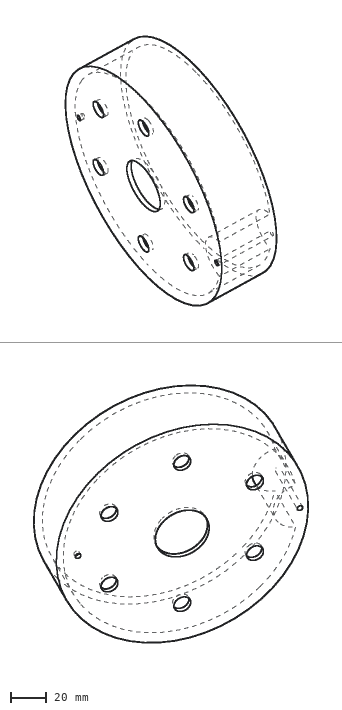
import cadquery as cq

outer_diameter = 150.0
total_depth = 38.0
wall_thickness = 5.0
plate_thickness = 3.0
bore_diameter = 32.0
bolt_hole_diameter = 10.0
bolt_circle_radius = 50.0
bolt_count = 6
pin_hole_diameter = 3.2
plate_pin_offset = 62.0
boss_diameter = 30.0

front_y = -total_depth / 2
cavity_diameter = outer_diameter - 2 * wall_thickness
boss_offset = cavity_diameter / 2


def cylinder(diameter, start_y=front_y, length=total_depth, x=0.0, z=0.0):
    """Solid cylinder along +Y, starting at start_y."""
    base_centre = cq.Vector(x, start_y, z)
    return cq.Workplane(cq.Solid.makeCylinder(diameter / 2, length, base_centre, cq.Vector(0, 1, 0)))


def cup():
    """Round plate with a cylindrical rim, open on the +Y side."""
    cavity_depth = total_depth - plate_thickness
    cavity = cylinder(cavity_diameter, front_y + plate_thickness, cavity_depth)
    return cylinder(outer_diameter).cut(cavity)


def rim_boss():
    """Full-depth round boss on the +X side of the rim, trimmed to the outer cylinder."""
    return cylinder(boss_diameter, x=boss_offset).intersect(cylinder(outer_diameter))


def bolt_holes():
    """Ring of equal holes through the plate, one of them on the +Z axis."""
    first_hole = cylinder(bolt_hole_diameter, z=bolt_circle_radius)
    holes = first_hole
    for index in range(1, bolt_count):
        angle = index * 360.0 / bolt_count
        holes = holes.union(first_hole.rotate((0, 0, 0), (0, 1, 0), angle))
    return holes


def pin_holes():
    """Two small holes on the X axis: one through the plate only, one through the boss."""
    plate_hole = cylinder(pin_hole_diameter, x=-plate_pin_offset)
    boss_hole = cylinder(pin_hole_diameter, x=boss_offset)
    return plate_hole.union(boss_hole)


bore = cylinder(bore_diameter)

result = cup().union(rim_boss()).cut(bore).cut(bolt_holes()).cut(pin_holes())